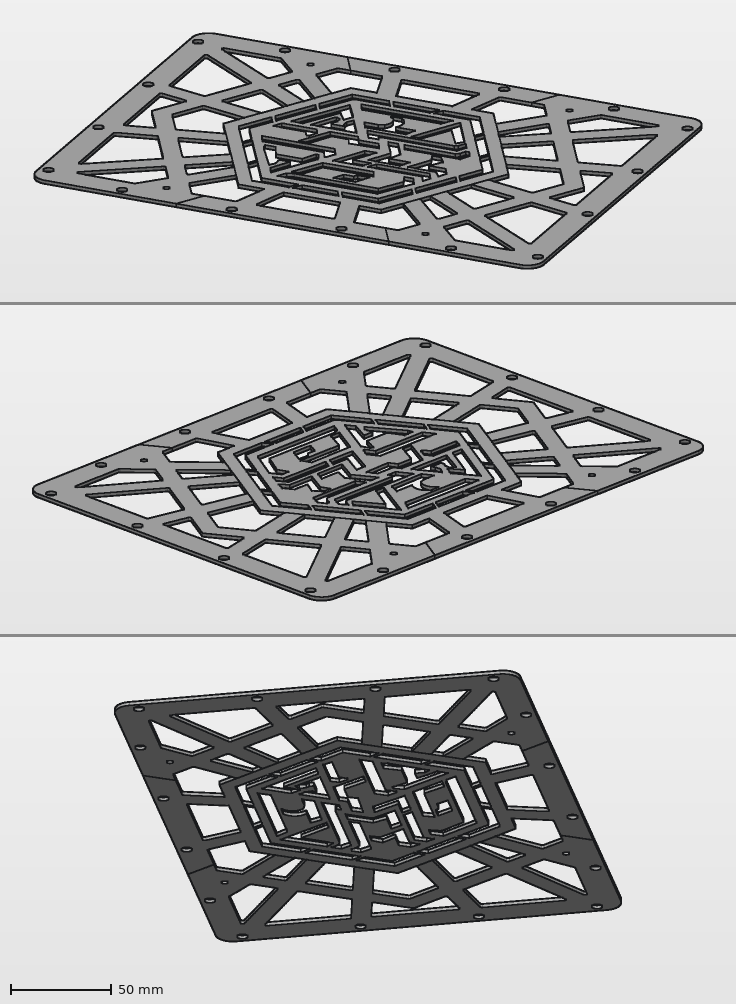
import cadquery as cq
import math

LENGTH = 278.0
WIDTH = 206.0
THICKNESS = 2.0
CORNER_RADIUS = 9.0
BORDER = 15.0

HOLE_DIAMETER = 5.3
HOLE_INSET = 5.0
HOLE_PITCH = 60.0
HOLES_PER_SIDE = 4

PILOT_DIAMETER = 3.3
PILOT_X = 71.0
PILOT_Y = 86.7

STRUT_WIDTH = 10.0
RING_INNER_RADIUS = 107.3
RING_OUTER_RADIUS = 118.5
WEB_CORNER_RADIUS = 1.0

HEXAGON_X = -1.0
HEXAGON_RADIUS = 78.0
MOAT_OUTER_RADIUS = 69.8
MOAT_INNER_RADIUS = 64.0
BRIDGE_WIDTH = 2.0
BRIDGE_LENGTH = 16.7
BRIDGE_POINTS = [(12.2, 57.8), (44.2, 39.2), (57.8, 16.0)]

HEXAGON_ANGLE = 60.0
SEAM_APEX_Y = 2.2

HALF_LENGTH = LENGTH / 2
HALF_WIDTH = WIDTH / 2
HOLE_X = HALF_LENGTH - HOLE_INSET
HOLE_Y = HALF_WIDTH - HOLE_INSET
HOLE_OFFSETS = [(i - (HOLES_PER_SIDE - 1) / 2) * HOLE_PITCH for i in range(HOLES_PER_SIDE)]
MIRRORS = [(sx, sy) for sx in (1, -1) for sy in (1, -1)]

MAZE_OPENINGS = {
    "top bar": [(-27.0, 51.0), (23.5, 51.0), (19.5, 44.8), (-23.5, 44.8)],
    "upper left chevron": [
        (-49.8, 16.7), (-31.7, 47.8), (-23.5, 34.5), (-26.7, 29.2), (-31.7, 36.7), (-43.5, 16.7),
    ],
    "notched triangle": [
        (-39.0, 16.7), (-31.5, 30.9), (-28.5, 29.2), (-28.5, 25.9), (-30.0, 24.0), (-30.0, 21.7),
        (-22.5, 21.7), (-24.0, 23.5), (-24.0, 27.2), (-21.7, 30.5), (-13.5, 16.7),
    ],
    "upper right chevron": [
        (13.0, 23.5), (27.8, 50.0), (40.0, 28.5), (36.7, 24.7), (27.8, 39.5), (18.5, 23.5),
    ],
    "long bar": [
        (-10.3, 21.7), (37.3, 21.7), (39.2, 22.5), (41.5, 26.7), (44.0, 22.2), (41.1, 16.7),
        (0.0, 16.7), (-1.5, 15.5), (-0.3, 13.5), (-5.8, 13.5),
    ],
    "right upper bar": [
        (14.2, 12.5), (42.0, 12.5), (44.2, 14.2), (45.5, 17.5), (47.5, 17.5), (49.8, 13.3),
        (47.0, 7.5), (16.7, 7.5),
    ],
    "left upper bar": [
        (-52.8, 12.5), (-33.5, 12.5), (-31.7, 8.3), (-34.0, 3.5), (-35.3, 3.5), (-37.5, 7.5),
        (-55.3, 7.5),
    ],
    "left zigzag": [
        (-36.0, -4.7), (-26.5, 12.5), (-11.0, 12.5), (-9.0, 8.5), (2.0, 8.5), (4.7, 3.3),
        (-11.7, 2.8), (-14.0, 7.5), (-23.4, 7.5), (-29.7, -4.7),
    ],
    "middle zigzag": [
        (5.3, 12.5), (10.8, 12.5), (17.5, 0.8), (14.5, -6.7), (26.0, -6.7), (23.0, -12.5),
        (5.8, -12.5), (12.5, 0.0),
    ],
    "right zigzag": [
        (32.5, 5.5), (37.5, 5.5), (41.0, 0.5), (36.5, -6.7), (45.5, -6.7), (48.6, -12.2),
        (46.5, -17.2), (43.0, -12.5), (27.5, -12.5), (34.5, 0.3),
    ],
    "lower zigzag": [
        (-0.5, -2.5), (5.8, -2.2), (-1.5, -15.5), (9.0, -15.5), (6.0, -20.5), (-10.0, -20.5),
    ],
    "left lower bar": [
        (-55.3, -6.5), (-15.3, -6.5), (-12.0, -12.5), (-14.7, -17.5), (-15.8, -17.5), (-18.3, -12.5),
        (-52.0, -12.5),
    ],
    "right lower bar": [
        (12.0, -15.5), (41.0, -15.5), (44.0, -21.0), (41.7, -25.5), (39.2, -20.5), (9.2, -20.5),
    ],
    "forked triangle": [
        (-49.0, -16.5), (-43.0, -16.5), (-39.2, -24.7), (-24.7, -24.7), (-20.8, -16.5), (-19.2, -17.0),
        (-17.5, -22.0), (-31.7, -47.0), (-34.5, -42.0), (-28.5, -30.5), (-34.8, -30.5),
        (-34.5, -35.5), (-36.7, -38.5), (-48.5, -19.5),
    ],
    "lower left bend": [
        (-22.8, -42.0), (-13.3, -25.3), (14.5, -25.0), (17.0, -30.5), (-10.8, -30.5), (-16.7, -42.0),
    ],
    "small step": [
        (-0.5, -40.5), (2.5, -34.5), (7.8, -34.5), (9.2, -32.5), (15.8, -32.5), (11.5, -40.5),
    ],
    "bottom bar": [
        (-27.0, -49.8), (-24.2, -44.8), (-20.5, -43.6), (25.5, -43.6), (33.4, -30.9),
        (31.0, -24.7), (36.1, -24.7), (39.2, -30.5), (27.8, -49.8),
    ],
}


def plate(points):
    """A flat plate of the full thickness with a straight-sided outline."""
    return cq.Workplane("XY").polyline(points).close().extrude(THICKNESS)


def hexagon(radius, center_x=0.0):
    """A hexagonal plate with one corner on +X; the radius reaches the corners."""
    return cq.Workplane("XY").center(center_x, 0).polygon(6, 2 * radius).extrude(THICKNESS)


def bar(length, width, angle, center):
    """A straight bar turned to the given angle."""
    straight = cq.Workplane("XY").rect(length, width).extrude(THICKNESS)
    return straight.rotate((0, 0, 0), (0, 0, 1), angle).translate((center[0], center[1], 0))


def hole_points():
    """Screw hole middles: a row along each of the four edges."""
    ends = [(x, side * HOLE_Y) for x in HOLE_OFFSETS for side in (1, -1)]
    sides = [(side * HOLE_X, y) for y in HOLE_OFFSETS for side in (1, -1)]
    return ends + sides


def outer_plate():
    blank = cq.Workplane("XY").rect(LENGTH, WIDTH).extrude(THICKNESS)
    return blank.edges("|Z").fillet(CORNER_RADIUS)


def frame():
    window = cq.Workplane("XY").rect(LENGTH - 2 * BORDER, WIDTH - 2 * BORDER).extrude(THICKNESS)
    return outer_plate().cut(window)


def struts():
    """Bars across the middle, each joining two opposite screw holes."""
    spokes = cq.Workplane("XY")
    for x, y in hole_points():
        if y > 0:
            angle = math.degrees(math.atan2(y, x))
            spokes = spokes.union(bar(2 * math.hypot(x, y), STRUT_WIDTH, angle, (0, 0)))
    return spokes


def gussets():
    """Triangles between the ring, the frame and the struts to the outer holes of the long edges."""
    ring_radius = (RING_INNER_RADIUS + RING_OUTER_RADIUS) / 2
    ring_slope = math.tan(math.radians(HEXAGON_ANGLE))
    strut_slope = HOLE_Y / HOLE_OFFSETS[-1]
    top = HALF_WIDTH - BORDER / 2
    meeting_x = ring_radius * ring_slope / (strut_slope + ring_slope)
    corner = [
        (meeting_x, meeting_x * strut_slope),
        (top / strut_slope, top),
        (ring_radius - top / ring_slope, top),
    ]
    fill = cq.Workplane("XY")
    for sx, sy in MIRRORS:
        fill = fill.union(plate([(sx * x, sy * y) for x, y in corner]))
    return fill


def rounded_corners(body):
    """Round the web corners that lie inside the frame and clear of the hexagon."""
    corners = [
        edge for edge in body.edges("|Z").vals()
        if math.hypot(edge.Center().x, edge.Center().y) > HEXAGON_RADIUS
        and abs(edge.Center().x) < HALF_LENGTH - BORDER / 2
        and abs(edge.Center().y) < HALF_WIDTH - BORDER / 2
    ]
    return body.newObject(corners).fillet(WEB_CORNER_RADIUS)


def web():
    """Frame, ring, struts and gussets in one, with the hexagon left free and all holes cut."""
    ring = hexagon(RING_OUTER_RADIUS).cut(hexagon(RING_INNER_RADIUS))
    body = frame().union(ring).union(struts()).union(gussets())
    body = rounded_corners(body).cut(hexagon(HEXAGON_RADIUS, HEXAGON_X))
    screw_holes = cq.Workplane("XY").pushPoints(hole_points()).circle(HOLE_DIAMETER / 2)
    pilots = [(sx * PILOT_X, sy * PILOT_Y) for sx, sy in MIRRORS]
    pilot_holes = cq.Workplane("XY").pushPoints(pilots).circle(PILOT_DIAMETER / 2)
    return body.cut(screw_holes.extrude(THICKNESS)).cut(pilot_holes.extrude(THICKNESS))


def side_zone(side):
    """Everything on one side (-1 left, 1 right) of the sloping joints."""
    seam_x = (WIDTH - SEAM_APEX_Y) / math.tan(math.radians(HEXAGON_ANGLE))
    return plate([
        (0, SEAM_APEX_Y), (side * seam_x, WIDTH), (side * LENGTH, WIDTH),
        (side * LENGTH, -WIDTH), (side * seam_x, -WIDTH), (0, -SEAM_APEX_Y),
    ])


def side_panel(full_web, side):
    return full_web.intersect(side_zone(side))


def moat():
    """Hexagonal slot around the maze, crossed by slanted bridges."""
    slot = hexagon(MOAT_OUTER_RADIUS, HEXAGON_X).cut(hexagon(MOAT_INNER_RADIUS, HEXAGON_X))
    for sx, sy in MIRRORS:
        for x, y in BRIDGE_POINTS:
            slot = slot.cut(
                bar(BRIDGE_LENGTH, BRIDGE_WIDTH, sx * sy * HEXAGON_ANGLE, (HEXAGON_X + sx * x, sy * y))
            )
    return slot


def hooked_opening():
    """Bar-shaped maze opening with a curved neck on top."""
    outline = (
        cq.Workplane("XY")
        .moveTo(-6.7, 42.8)
        .lineTo(-1.0, 42.8)
        .threePointArc((2.5, 37.3), (0.8, 31.5))
        .lineTo(11.7, 31.5)
        .lineTo(9.2, 25.3)
        .lineTo(-12.8, 24.7)
        .lineTo(-15.8, 30.5)
        .lineTo(-8.3, 30.5)
        .lineTo(-5.3, 31.7)
        .threePointArc((-3.3, 36.0), (-6.7, 42.3))
        .close()
    )
    return outline.extrude(THICKNESS)


def middle_panel(full_web):
    """Maze hexagon with the two strips of web above and below it."""
    strips = full_web.cut(side_zone(-1)).cut(side_zone(1))
    body = strips.union(hexagon(HEXAGON_RADIUS, HEXAGON_X)).cut(moat()).cut(hooked_opening())
    for outline in MAZE_OPENINGS.values():
        body = body.cut(plate(outline))
    return body


web_plate = web()
left_panel = side_panel(web_plate, -1)
right_panel = side_panel(web_plate, 1)
maze_panel = middle_panel(web_plate)

result = cq.Compound.makeCompound([
    left_panel.solids().val(),
    right_panel.solids().val(),
    maze_panel.solids().val(),
])